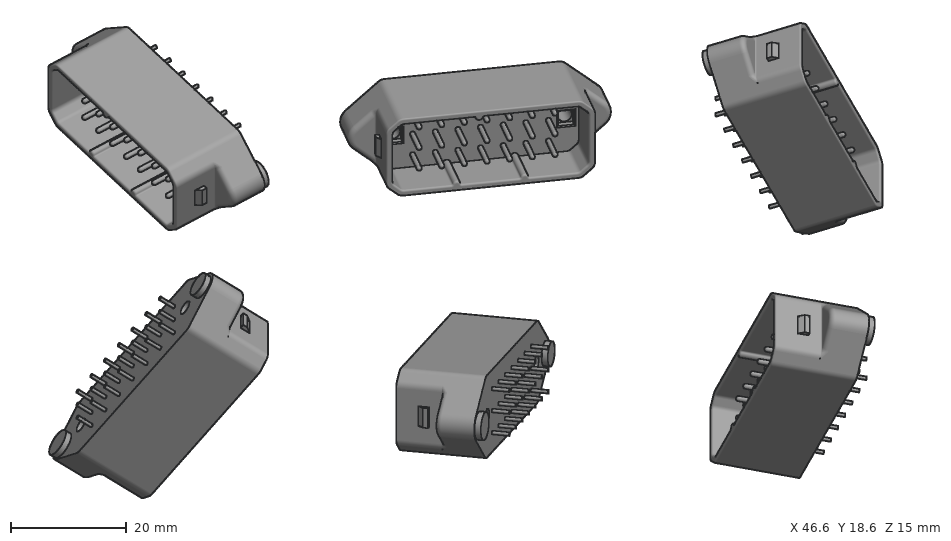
import cadquery as cq
import math


length = 46.6
height = 15.0
depth = 15.5
side_slope = 40.5
ear_end_radius = 2.85
corner_radius = 1.7

shroud_length = 36.95
shroud_corner_radius = 1.5
ear_depth = 7.05
ear_edge_radius = 1.0
ear_root_radius = 0.25

wall = 1.1
cavity_depth = 8.45
cavity_corner_radius = 1.03
rim_outer_radius = 0.3
rim_inner_radius = 0.35

pitch = 4.0
columns = 7
rows = 3
pin_diameter = 0.95
pin_tip_y = -12.8
tail_diameter = 0.65
tail_length = 3.08

rib_radius = 0.7
rib_foot_radius = 0.33

boss_x = 20.5
boss_height = 1.1
left_boss_diameter = 4.45
right_boss_diameter = 5.0

hole_x = 15.2
hole_diameter = 2.55
recess_size = 2.85
recess_depth = 1.4
recess_chamfer = 0.25

latch_width = 3.6
latch_height = 0.75
latch_back_y = -9.5
latch_crest_y = -10.4
latch_front_y = -11.45

slope = math.radians(side_slope)
half_length = length / 2
half_height = height / 2
half_shroud = shroud_length / 2
floor_y = cavity_depth - depth
ear_center = half_length - ear_end_radius
tip_x = ear_center + ear_end_radius / math.sin(slope)
shoulder_x = tip_x - half_height / math.tan(slope)


def prism(points, y_start, y_end):
    """Extrude an XZ outline from y_start toward -Y to y_end."""
    plane = cq.Workplane("XZ", origin=(0, y_start, 0))
    return plane.polyline(points).close().extrude(y_start - y_end)


def rod(x, z, diameter, y_start, y_end):
    """Round bar along Y."""
    plane = cq.Workplane("XZ", origin=(0, y_start, 0))
    return plane.center(x, z).circle(diameter / 2).extrude(y_start - y_end)


def body_block():
    """Full-depth hexagonal prism with rounded ends and shoulders."""
    hexagon = [
        (tip_x, 0),
        (shoulder_x, half_height),
        (-shoulder_x, half_height),
        (-tip_x, 0),
        (-shoulder_x, -half_height),
        (shoulder_x, -half_height),
    ]
    block = prism(hexagon, 0, -depth)
    block = block.edges("|Y").edges(">Z or <Z").fillet(corner_radius)
    return block.edges("|Y").edges(">X or <X").fillet(ear_end_radius)


def edges_near(x_start, x_end, y_start, y_end):
    """Select the edges lying wholly between two X and two Y positions."""
    margin = 0.005
    return cq.selectors.BoxSelector(
        (x_start - margin, y_start - margin, -height),
        (x_end + margin, y_end + margin, height),
        boundingbox=True,
    )


def with_right_ear(block):
    """Cut the +X end back to an ear and round the ear and the shroud end."""
    notch = cq.Workplane("XY").box(length, depth, height)
    notch = notch.translate((half_shroud + length / 2, -ear_depth - depth / 2, 0))
    block = block.cut(notch)

    shroud_end = edges_near(half_shroud, half_shroud, -depth, -ear_depth)
    block = block.edges(shroud_end).edges("|Y").fillet(shroud_corner_radius)
    ear_root = edges_near(half_shroud, half_shroud, -ear_depth, -ear_depth)
    block = block.edges(ear_root).fillet(ear_root_radius)

    ear_plane = edges_near(shoulder_x, half_length, -ear_depth, -ear_depth)
    root_x = half_shroud + ear_root_radius
    root_edges = edges_near(shoulder_x, root_x, -ear_depth, -ear_depth)
    return block.edges(ear_plane - root_edges).fillet(ear_edge_radius)


def outer_body():
    """Both ends of the body, the -X half mirrored from the +X half."""
    half_space = cq.Workplane("XY").box(length, 2 * depth, height, centered=(False, True, True))
    right_half = with_right_ear(body_block()).intersect(half_space)
    return right_half.union(right_half.mirror("YZ")).clean()


def cavity():
    """Constant-wall pocket behind the rim, with rounded corners and rib grooves."""
    half_w = half_shroud - wall
    half_h = half_height - wall
    tip = tip_x - wall / math.sin(slope)
    rise = math.tan(slope)
    top_x = tip - half_h / rise
    side_z = (tip - half_w) * rise
    octagon = [
        (top_x, half_h),
        (half_w, side_z),
        (half_w, -side_z),
        (top_x, -half_h),
        (-top_x, -half_h),
        (-half_w, -side_z),
        (-half_w, side_z),
        (-top_x, half_h),
    ]
    pocket = prism(octagon, floor_y, -depth).edges("|Y").fillet(cavity_corner_radius)
    for place, z in ((-0.5, half_h), (-1.5, -half_h), (1.5, -half_h)):
        x = place * pitch
        pocket = pocket.cut(rod(x, z, 2 * rib_radius, 0, -depth))
        mid_y = -depth + cavity_depth / 2
        for foot_x in (x - rib_radius, x + rib_radius):
            foot = cq.NearestToPointSelector((foot_x, mid_y, z))
            pocket = pocket.edges("|Y").edges(foot).fillet(rib_foot_radius)
    return pocket


def pin(x, z):
    """Round-tipped contact in the cavity with a thinner solder tail."""
    tip_radius = pin_diameter / 2
    tip_center_y = pin_tip_y + tip_radius
    contact = rod(x, z, pin_diameter, floor_y, tip_center_y)
    tip = cq.Workplane("XY").sphere(tip_radius).translate((x, tip_center_y, z))
    tail = rod(x, z, tail_diameter, tail_length, floor_y)
    return contact.union(tip).union(tail)


def floor_hole(x):
    """Through hole with a chamfered square recess in the cavity floor."""
    through = rod(x, 0, hole_diameter, 0, -depth)
    plane = cq.Workplane("XZ", origin=(x, floor_y + recess_depth, 0))
    recess = plane.rect(recess_size, recess_size).extrude(recess_depth)
    mouth = recess_size + 2 * recess_chamfer
    flare = cq.Workplane("XZ", origin=(x, floor_y + recess_chamfer, 0)).rect(recess_size, recess_size)
    flare = flare.workplane(offset=recess_chamfer).rect(mouth, mouth).loft()
    return through.union(recess).union(flare)


def latch(side):
    """Wedge on one shroud end, rooted in the wall."""
    base_x = half_shroud - wall / 2
    crest_x = half_shroud + latch_height
    profile = [
        (side * base_x, latch_back_y),
        (side * crest_x, latch_back_y),
        (side * crest_x, latch_crest_y),
        (side * half_shroud, latch_front_y),
        (side * base_x, latch_front_y),
    ]
    wedge = cq.Workplane("XY").polyline(profile).close()
    return wedge.extrude(latch_width / 2, both=True)


housing = outer_body()
housing = housing.faces("<Y").edges().fillet(rim_outer_radius)
housing = housing.cut(cavity())
rim = housing.faces("<Y").wires(cq.selectors.AreaNthSelector(0))
housing = rim.fillet(rim_inner_radius)

for end in (-1, 1):
    housing = housing.union(latch(end))
    housing = housing.cut(floor_hole(end * hole_x))
housing = housing.union(rod(-boss_x, 0, left_boss_diameter, boss_height, 0))
housing = housing.union(rod(boss_x, 0, right_boss_diameter, boss_height, 0))

for column in range(columns):
    for row in range(rows):
        x = (column - (columns - 1) / 2) * pitch
        z = (row - (rows - 1) / 2) * pitch
        housing = housing.union(pin(x, z))

result = housing